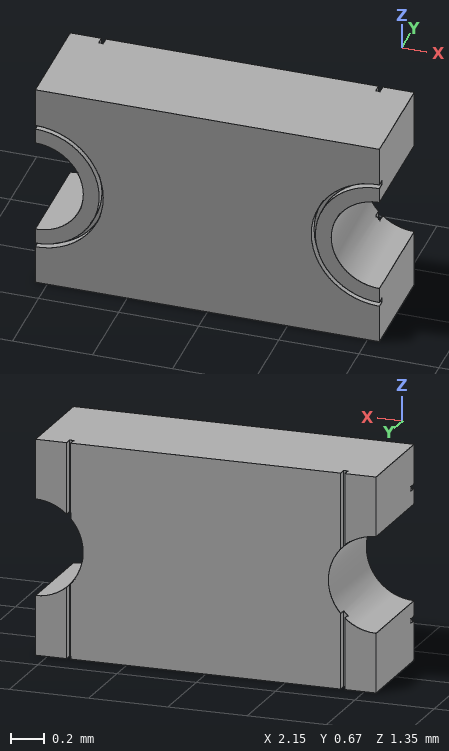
import cadquery as cq

length = 2.15
depth = 0.67
height = 1.35

notch_radius = 0.3
ring_inner_radius = 0.4
groove_width = 0.025
groove_depth = 0.054
ring_outer_radius = ring_inner_radius + groove_width

back_groove_offset = 0.198

front_y = -depth / 2
back_y = depth / 2


def cylinder_along_y(x, radius, start_y, cylinder_length):
    """Cylinder with its axis along +Y, at mid height."""
    return cq.Workplane(
        cq.Solid.makeCylinder(
            radius, cylinder_length, cq.Vector(x, start_y, 0), cq.Vector(0, 1, 0)
        )
    )


def end_notch(x):
    return cylinder_along_y(x, notch_radius, front_y, depth)


def front_ring_groove(x):
    outer = cylinder_along_y(x, ring_outer_radius, front_y, groove_depth)
    inner = cylinder_along_y(x, ring_inner_radius, front_y, groove_depth)
    return outer.cut(inner)


def back_groove(side):
    center_x = side * (length / 2 - back_groove_offset - groove_width / 2)
    center_y = back_y - groove_depth / 2
    return cq.Workplane().box(groove_width, groove_depth, height).translate((center_x, center_y, 0))


result = cq.Workplane().box(length, depth, height)
for side in (-1, 1):
    end_x = side * length / 2
    result = result.cut(end_notch(end_x))
    result = result.cut(front_ring_groove(end_x))
    result = result.cut(back_groove(side))